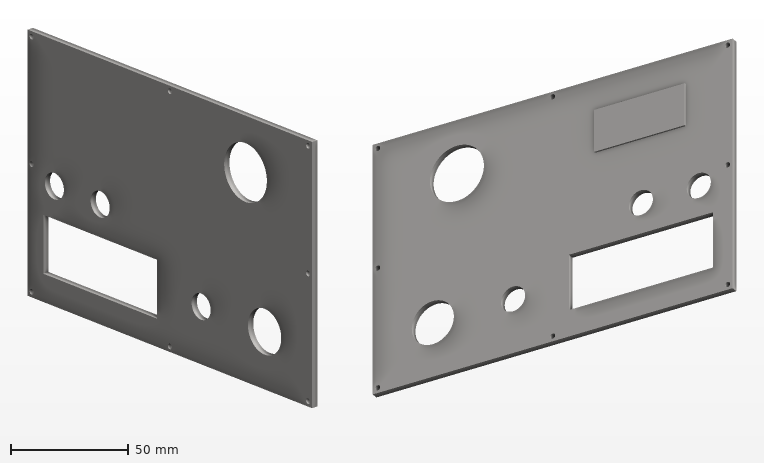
import cadquery as cq

PLATE_WIDTH = 180.0
PLATE_HEIGHT = 122.0
PLATE_THICKNESS = 3.0

MOUNT_DIAMETER = 2.5
MOUNT_SPAN_X = 175.0
MOUNT_SPAN_Z = 117.0

BUTTON_DIAMETER = 12.0
LARGE_DIAMETER = 27.0
MEDIUM_DIAMETER = 21.0
LARGE_CENTRE = (47.9, 35.0)
UPPER_BUTTON_Z = -6.0
UPPER_BUTTON_SPACING = 29.0
LOWER_ROW_Z = -34.5
LOWER_BUTTON_X = 19.8
MEDIUM_X = 60.0

WINDOW_WIDTH = 72.0
WINDOW_HEIGHT = 27.0
WINDOW_X = -44.1

PAD_WIDTH = 45.4
PAD_HEIGHT = 20.5
PAD_RISE = 0.9
PAD_CENTRE = (-44.0, 35.3)


def front_plane():
    """Workplane on the front face; local x and y run along X and Z, its normal along -Y."""
    return cq.Workplane("XZ")


def make_plate():
    return front_plane().rect(PLATE_WIDTH, PLATE_HEIGHT).extrude(-PLATE_THICKNESS)


def make_pad():
    back_plane = front_plane().workplane(offset=-PLATE_THICKNESS)
    return back_plane.center(*PAD_CENTRE).rect(PAD_WIDTH, PAD_HEIGHT).extrude(-PAD_RISE)


def round_cutter(diameter, centres):
    return front_plane().pushPoints(centres).circle(diameter / 2).extrude(-PLATE_THICKNESS)


def window_cutter():
    outline = front_plane().center(WINDOW_X, LOWER_ROW_Z).rect(WINDOW_WIDTH, WINDOW_HEIGHT)
    return outline.extrude(-PLATE_THICKNESS)


mount_centres = [
    (column * MOUNT_SPAN_X / 2, row * MOUNT_SPAN_Z / 2)
    for column in (-1, 0, 1)
    for row in (-1, 0, 1)
    if (column, row) != (0, 0)
]

button_centres = [
    (WINDOW_X - UPPER_BUTTON_SPACING, UPPER_BUTTON_Z),
    (WINDOW_X, UPPER_BUTTON_Z),
    (LOWER_BUTTON_X, LOWER_ROW_Z),
]

result = make_plate().union(make_pad())
result = result.cut(round_cutter(MOUNT_DIAMETER, mount_centres))
result = result.cut(round_cutter(BUTTON_DIAMETER, button_centres))
result = result.cut(round_cutter(LARGE_DIAMETER, [LARGE_CENTRE]))
result = result.cut(round_cutter(MEDIUM_DIAMETER, [(MEDIUM_X, LOWER_ROW_Z)]))
result = result.cut(window_cutter())